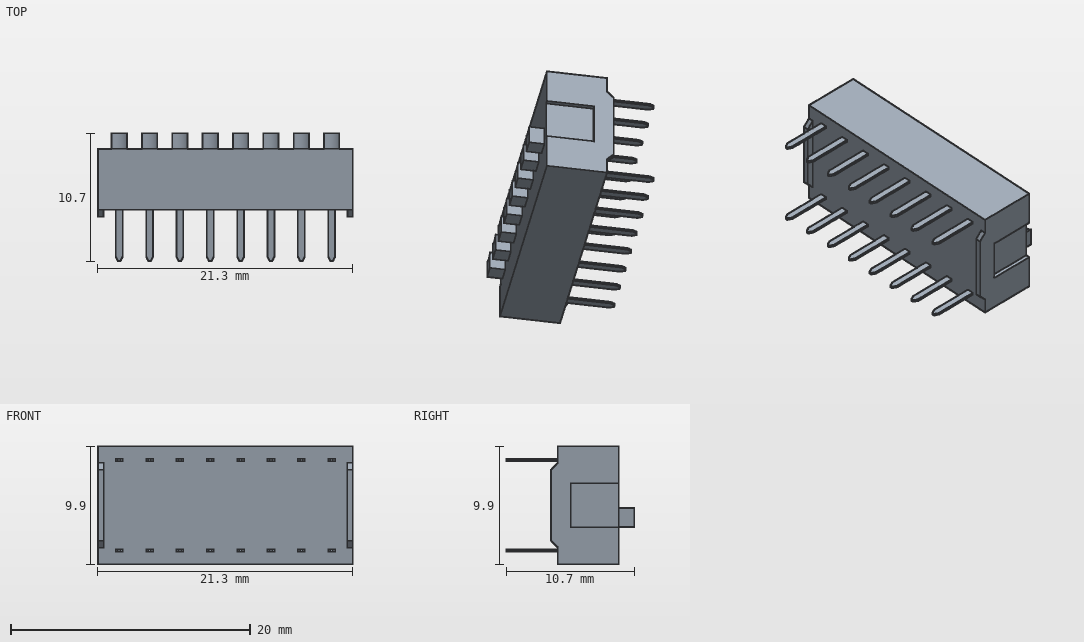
import cadquery as cq

LENGTH = 21.32
DEPTH = 5.12
HEIGHT = 9.9
FRONT_Y = -1.05
BACK_Y = FRONT_Y + DEPTH
OVERALL_DEPTH = 10.7
ACTUATOR_REACH = 1.3
PIN_REACH = OVERALL_DEPTH - DEPTH - ACTUATOR_REACH

SWITCH_COUNT = 8
PITCH = 2.54
SWITCH_XS = [(i - (SWITCH_COUNT - 1) / 2) * PITCH for i in range(SWITCH_COUNT)]

PIN_WIDTH = 0.6
PIN_THICKNESS = 0.2
PIN_ROW_SPACING = 7.57
PIN_TIP_LENGTH = 0.38
PIN_TIP_WIDTH = 0.21

RIB_WIDTH = 0.47
RIB_REACH = 0.58
RIB_ROOT_HEIGHT = 7.1
RIB_BEVEL_HEIGHT = 0.6

RECESS_INSET = 0.36
RECESS_DEPTH = 4.03
RECESS_HEIGHT = 3.67
RECESS_TOP_Z = RECESS_HEIGHT / 2
RECESS_BOTTOM_Z = -RECESS_TOP_Z

ACTUATOR_WIDTH = 1.3
ACTUATOR_HEIGHT = 1.62
ACTUATOR_BOTTOM_Z = RECESS_BOTTOM_Z
FINGER_DIP = 0.23


def box(x_min, x_max, y_min, y_max, z_min, z_max):
    """Box given by its limits along each axis."""
    size = (x_max - x_min, y_max - y_min, z_max - z_min)
    return cq.Workplane("XY").box(*size, centered=False).translate((x_min, y_min, z_min))


def housing():
    """Block with a shallow recess in each end face."""
    body = box(-LENGTH / 2, LENGTH / 2, FRONT_Y, BACK_Y, -HEIGHT / 2, HEIGHT / 2)
    inner = LENGTH / 2 - RECESS_INSET
    recess_y = BACK_Y - RECESS_DEPTH
    for x_min, x_max in ((-LENGTH / 2, -inner), (inner, LENGTH / 2)):
        body = body.cut(box(x_min, x_max, recess_y, BACK_Y, RECESS_BOTTOM_Z, RECESS_TOP_Z))
    return body


def rib(x_min):
    """Standoff rib with bevelled ends, running along Z."""
    root = RIB_ROOT_HEIGHT / 2
    crest = root - RIB_BEVEL_HEIGHT
    outline = [
        (FRONT_Y, -root),
        (FRONT_Y - RIB_REACH, -crest),
        (FRONT_Y - RIB_REACH, crest),
        (FRONT_Y, root),
    ]
    return cq.Workplane("YZ", origin=(x_min, 0, 0)).polyline(outline).close().extrude(RIB_WIDTH)


def pin(x, z):
    """Flat pin with a tapered tip, pointing along -Y."""
    tip_y = FRONT_Y - PIN_REACH
    taper_y = tip_y + PIN_TIP_LENGTH
    outline = [
        (x - PIN_WIDTH / 2, FRONT_Y),
        (x - PIN_WIDTH / 2, taper_y),
        (x - PIN_TIP_WIDTH / 2, tip_y),
        (x + PIN_TIP_WIDTH / 2, tip_y),
        (x + PIN_WIDTH / 2, taper_y),
        (x + PIN_WIDTH / 2, FRONT_Y),
    ]
    base = cq.Workplane("XY", origin=(0, 0, z - PIN_THICKNESS / 2))
    return base.polyline(outline).close().extrude(PIN_THICKNESS)


def actuator(x):
    """Block whose top is hollowed by an arc across its width."""
    left = x - ACTUATOR_WIDTH / 2
    right = x + ACTUATOR_WIDTH / 2
    top = ACTUATOR_BOTTOM_Z + ACTUATOR_HEIGHT
    profile = (
        cq.Workplane("XZ", origin=(0, BACK_Y, 0))
        .moveTo(left, ACTUATOR_BOTTOM_Z)
        .lineTo(left, top)
        .threePointArc((x, top - FINGER_DIP), (right, top))
        .lineTo(right, ACTUATOR_BOTTOM_Z)
        .close()
    )
    return profile.extrude(-ACTUATOR_REACH)


result = housing()
for rib_x in (-LENGTH / 2, LENGTH / 2 - RIB_WIDTH):
    result = result.union(rib(rib_x))
for switch_x in SWITCH_XS:
    result = result.union(actuator(switch_x))
    for pin_z in (-PIN_ROW_SPACING / 2, PIN_ROW_SPACING / 2):
        result = result.union(pin(switch_x, pin_z))